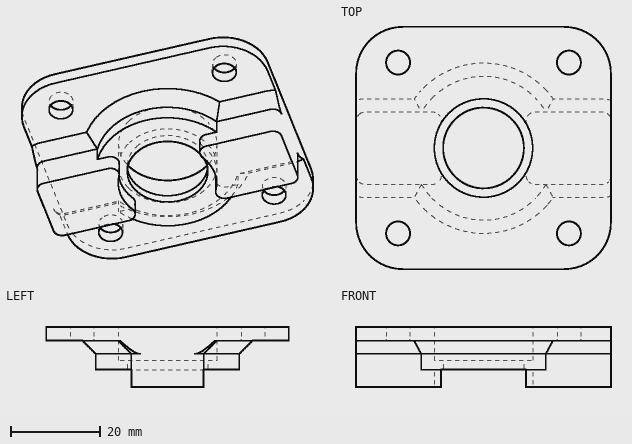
import cadquery as cq
import math

plate_length = 57.0
plate_width = 54.2
plate_thickness = 3.1
plate_corner_radius = 10.45
mount_hole_diameter = 5.3
mount_hole_spacing = 38.2

flare_bottom = 6.05
hub_bottom = 9.6
leg_bottom = 13.5
flare_height = flare_bottom - plate_thickness
flare_angle = 45.0
flare_spread = flare_height * math.tan(math.radians(flare_angle))

hub_diameter = 32.2
seat_diameter = 22.0
seat_depth = 7.45
bore_diameter = 18.0

leg_width = 16.2
leg_corner_radius = 2.0
leg_reach = plate_length / 2


def make_plate():
    return (
        cq.Workplane("XY")
        .workplane(offset=-plate_thickness)
        .rect(plate_length, plate_width)
        .extrude(plate_thickness)
        .edges("|Z")
        .fillet(plate_corner_radius)
    )


def make_hub():
    """Round hub whose upper part widens into the plate."""
    hub_radius = hub_diameter / 2
    return (
        cq.Workplane("XZ")
        .moveTo(0, -plate_thickness)
        .lineTo(hub_radius + flare_spread, -plate_thickness)
        .lineTo(hub_radius, -flare_bottom)
        .lineTo(hub_radius, -hub_bottom)
        .lineTo(0, -hub_bottom)
        .close()
        .revolve(360, (0, 0, 0), (0, 1, 0))
    )


def make_leg(side):
    """Leg with rounded corners and a flared root; side is +1 or -1 along X."""
    hollow = (
        cq.Workplane("XY")
        .workplane(offset=-leg_bottom)
        .circle(seat_diameter / 2)
        .extrude(leg_bottom - flare_bottom)
    )
    foot = (
        cq.Workplane("XY")
        .workplane(offset=-leg_bottom)
        .center(side * leg_reach / 2, 0)
        .rect(leg_reach, leg_width)
        .extrude(leg_bottom - flare_bottom)
        .cut(hollow)
        .edges("|Z")
        .fillet(leg_corner_radius)
    )
    flare_outline = cq.Sketch().rect(leg_reach, leg_width).vertices().fillet(leg_corner_radius)
    flare = (
        cq.Workplane("XY")
        .workplane(offset=-flare_bottom)
        .center(side * leg_reach / 2, 0)
        .placeSketch(flare_outline)
        .extrude(flare_height, taper=-flare_angle)
    )
    return foot.union(flare)


body = make_plate().union(make_hub())
for side in (-1, 1):
    body = body.union(make_leg(side))

envelope = cq.Workplane("XY").box(plate_length, plate_width, 2 * leg_bottom)
body = body.intersect(envelope)

bore = cq.Workplane("XY").circle(bore_diameter / 2).extrude(-leg_bottom)
seat = cq.Workplane("XY").circle(seat_diameter / 2).extrude(-seat_depth)

mount_holes = (
    cq.Workplane("XY")
    .rect(mount_hole_spacing, mount_hole_spacing, forConstruction=True)
    .vertices()
    .circle(mount_hole_diameter / 2)
    .extrude(-leg_bottom)
)

result = body.cut(bore).cut(seat).cut(mount_holes)